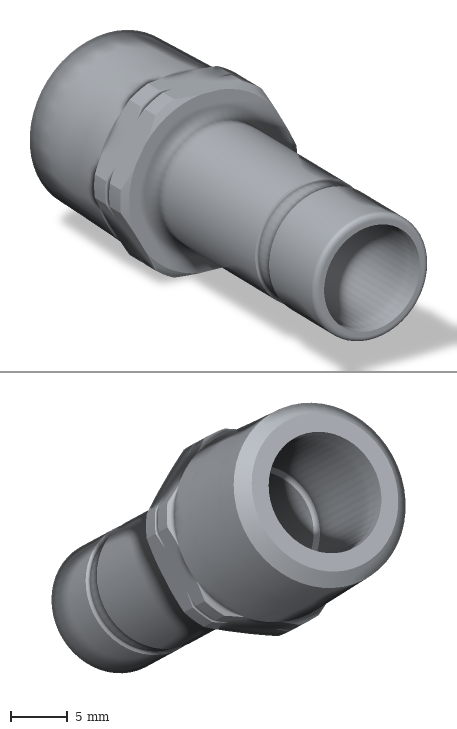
import cadquery as cq
import math

total_length = 43.5
nipple_length = 12.5
nut_width = 5.0
nut_end = nipple_length + nut_width

nipple_end_diameter = 17.45
nipple_end_radius = nipple_end_diameter / 2
taper_slope = 1 / 32
entry_chamfer_length = 1.1
entry_face_radius = 7.15

across_flats = 17.0
nut_corner_diameter = 18.5
nut_corner_radius = nut_corner_diameter / 2
nut_chamfer_length = 0.4
nut_chamfer_angle = 60.0
nut_groove_width = 0.6
nut_groove_depth = 0.5

tube_radius = 6.0
root_fillet = 1.0
tip_fillet = 0.52
groove_start = 33.9
groove_end = 36.15
groove_depth = 0.25
groove_start_run = 0.15

entry_bore_radius = 5.5
tube_bore_radius = 5.0
shoulder_angle = 60.0
shoulder_length = (entry_bore_radius - tube_bore_radius) / math.tan(math.radians(shoulder_angle))


def revolve_about_x(profile):
    """Turn a closed XY profile around the X axis."""
    return profile.close().revolve(360, (0, 0, 0), (1, 0, 0))


def nipple_radius(x):
    return nipple_end_radius - (nipple_length - x) * taper_slope


def make_nipple():
    return revolve_about_x(
        cq.Workplane("XY")
        .lineTo(0, entry_face_radius)
        .lineTo(entry_chamfer_length, nipple_radius(entry_chamfer_length))
        .lineTo(nipple_length, nipple_end_radius)
        .lineTo(nipple_length, 0)
    )


def make_nut():
    """Hexagon with flats facing +Z and -Z, trimmed by a turned envelope."""
    across_corners = across_flats / math.cos(math.pi / 6)
    hexagon = (
        cq.Workplane("YZ", origin=(nipple_length, 0, 0))
        .polygon(6, across_corners)
        .extrude(nut_width)
    )
    face_radius = nut_corner_radius - nut_chamfer_length * math.tan(math.radians(nut_chamfer_angle))
    middle = nipple_length + nut_width / 2
    envelope = revolve_about_x(
        cq.Workplane("XY")
        .moveTo(nipple_length, 0)
        .lineTo(nipple_length, face_radius)
        .lineTo(nipple_length + nut_chamfer_length, nut_corner_radius)
        .lineTo(middle - nut_groove_width / 2, nut_corner_radius)
        .lineTo(middle, nut_corner_radius - nut_groove_depth)
        .lineTo(middle + nut_groove_width / 2, nut_corner_radius)
        .lineTo(nut_end - nut_chamfer_length, nut_corner_radius)
        .lineTo(nut_end, face_radius)
        .lineTo(nut_end, 0)
    )
    return hexagon.intersect(envelope)


def make_tube():
    """Stem with a root fillet, a shallow retaining groove and a rounded tip."""
    groove_radius = tube_radius - groove_depth
    return revolve_about_x(
        cq.Workplane("XY")
        .moveTo(nut_end, 0)
        .lineTo(nut_end, tube_radius + root_fillet)
        .radiusArc((nut_end + root_fillet, tube_radius), -root_fillet)
        .lineTo(groove_start, tube_radius)
        .lineTo(groove_start + groove_start_run, groove_radius)
        .lineTo(groove_end - groove_depth, groove_radius)
        .lineTo(groove_end, tube_radius)
        .lineTo(total_length - tip_fillet, tube_radius)
        .radiusArc((total_length, tube_radius - tip_fillet), tip_fillet)
        .lineTo(total_length, 0)
    )


def make_bore():
    """Wide entry bore that narrows through a conical shoulder inside the nut."""
    return revolve_about_x(
        cq.Workplane("XY")
        .lineTo(0, entry_bore_radius)
        .lineTo(nipple_length, entry_bore_radius)
        .lineTo(nipple_length + shoulder_length, tube_bore_radius)
        .lineTo(total_length, tube_bore_radius)
        .lineTo(total_length, 0)
    )


result = make_nipple().union(make_nut()).union(make_tube()).cut(make_bore())